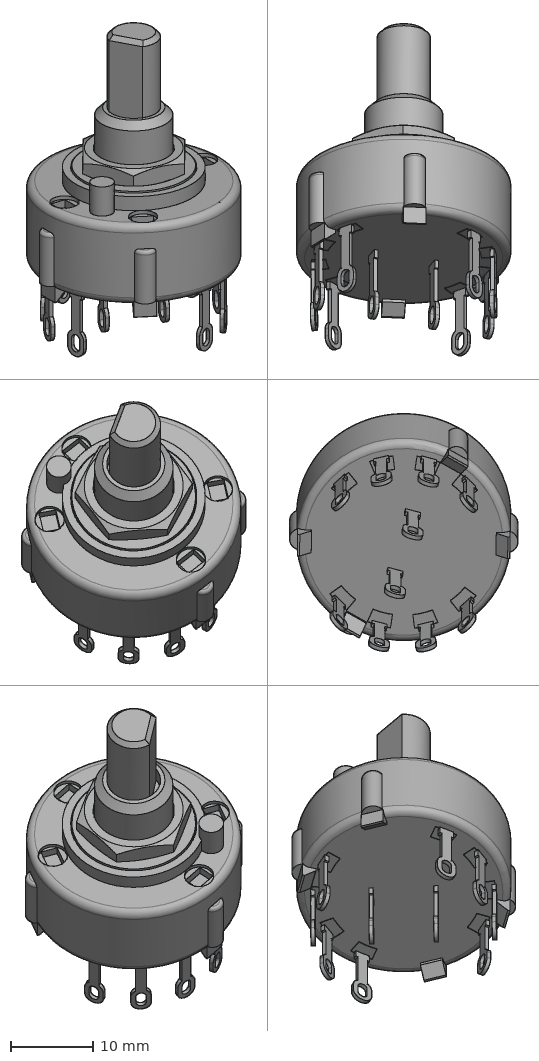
import cadquery as cq
import math


body_bottom = 8.8
body_top = 19.4
boss_top = 21.3
washer_top = 21.45
nut_top = 23.8
bushing_top = 29.25
shaft_top = 39.3

body_diameter = 26.0
body_edge_radius = 1.0
boss_diameter = 17.35

recess_diameter = 15.3
washer_diameter = 15.0
recess_depth = 0.4

nut_across_flats = 12.35
nut_bore = 9.82
nut_face_diameter = 12.0
nut_chamfer_height = 0.5
nut_turn = -6.7

bushing_diameter = 9.5
bushing_chamfer = 1.0
shaft_diameter = 6.5
shaft_chamfer = 0.6
shaft_flat_offset = 2.35
shaft_socket_depth = 1.95

locating_pin_diameter = 3.0
locating_pin_offset = 9.55
locating_pin_top = 23.3

corner_angles = [60, 120, 240, 300]
seat_diameter = 3.55
seat_radius = 10.4
seat_depth = 0.47
seat_slot_length = 2.7
seat_slot_width = 2.1
seat_slot_depth = 1.05
rib_diameter = 2.8
rib_radius = 12.45
rib_bottom = 9.3
rib_top = 16.3
rib_edge_radius = 0.47
hook_width = rib_diameter
hook_outer_radius = 12.9
hook_bottom = 7.15
hook_tip_depth = 0.28
hook_depth = 1.7
hook_slope_height = 1.25

outer_terminal_radius = 11.0
outer_terminal_angles = [165, 195, 225, 255, 345, 15, 45, 75]
inner_terminal_radius = 3.93
inner_terminal_angles = [45, 225]
terminal_thickness = 0.5
eye_width = 2.5
eye_height = 3.55
eye_wall = 0.63
shank_width = 1.35
shoulder_width = 1.9
shoulder_bottom = 7.75

pad_inner_radius = 9.45
pad_outer_radius = 11.15
pad_spread = 15
pad_height = 0.08

embed = 0.4


def disc(diameter, bottom, top):
    return cq.Workplane("XY").workplane(offset=bottom).circle(diameter / 2).extrude(top - bottom)


def block(length, width, bottom, top):
    return cq.Workplane("XY").workplane(offset=bottom).rect(length, width).extrude(top - bottom)


def place(shape, radius, angle):
    """Move a shape out along +X, then turn it about the Z axis."""
    return shape.translate((radius, 0, 0)).rotate((0, 0, 0), (0, 0, 1), angle)


def make_housing():
    housing = disc(body_diameter, body_bottom, body_top).edges().fillet(body_edge_radius)
    housing = housing.union(disc(boss_diameter, body_top - embed, boss_top))
    housing = housing.cut(disc(recess_diameter, boss_top - recess_depth, boss_top))
    locating_pin = disc(locating_pin_diameter, body_top - embed, locating_pin_top)
    return housing.union(locating_pin.translate((0, -locating_pin_offset, 0)))


def make_nut():
    corner_diameter = nut_across_flats / math.cos(math.pi / 6)
    height = nut_top - washer_top
    nut = cq.Workplane("XY").polygon(6, corner_diameter).extrude(height)
    face_radius = nut_face_diameter / 2
    corner_radius = corner_diameter / 2
    chamfered = (
        cq.Workplane("XZ")
        .polyline([
            (0, 0),
            (face_radius, 0),
            (corner_radius, nut_chamfer_height),
            (corner_radius, height - nut_chamfer_height),
            (face_radius, height),
            (0, height),
        ])
        .close()
        .revolve(360, (0, 0, 0), (0, 1, 0))
    )
    nut = nut.intersect(chamfered).cut(disc(nut_bore, 0, height))
    return place(nut, 0, nut_turn).translate((0, 0, washer_top))


def make_bushing():
    bushing = disc(bushing_diameter, body_top, bushing_top).faces(">Z").chamfer(bushing_chamfer)
    return bushing.cut(disc(shaft_diameter, bushing_top - shaft_socket_depth, bushing_top))


def make_shaft():
    bottom = bushing_top - shaft_socket_depth
    shaft = disc(shaft_diameter, bottom, shaft_top)
    flat_cut = block(shaft_diameter, shaft_diameter, bottom, shaft_top)
    shaft = shaft.cut(flat_cut.translate((0, -shaft_flat_offset - shaft_diameter / 2, 0)))
    return shaft.faces(">Z").chamfer(shaft_chamfer)


def make_seat():
    floor = body_top - seat_depth
    slot = block(seat_slot_width, seat_slot_length, floor - seat_slot_depth, floor)
    return disc(seat_diameter, floor, body_top).union(slot)


def make_rib():
    return disc(rib_diameter, rib_bottom, rib_top).faces(">Z").edges().fillet(rib_edge_radius)


def make_hook():
    """Hook whose outer face lies at x = 0 and whose sloped nose points inward."""
    slope_top = hook_bottom + hook_slope_height
    return (
        cq.Workplane("XZ")
        .polyline([
            (0, hook_bottom),
            (0, rib_bottom),
            (-hook_depth, rib_bottom),
            (-hook_depth, slope_top),
            (-hook_tip_depth, hook_bottom),
        ])
        .close()
        .extrude(hook_width / 2, both=True)
    )


def upright_slot(height, width):
    """Round-ended plate at the height of the solder eye, as thick as a terminal."""
    return (
        cq.Workplane("YZ")
        .center(0, eye_height / 2)
        .slot2D(height, width, 90)
        .extrude(terminal_thickness / 2, both=True)
    )


def make_terminal():
    """Flat terminal lying in the YZ plane, with a solder eye at its lower end."""
    top = body_bottom + embed
    eye_middle = eye_height / 2
    eye = upright_slot(eye_height, eye_width)
    hole = upright_slot(eye_height - 2 * eye_wall, eye_width - 2 * eye_wall)
    shank = block(terminal_thickness, shank_width, eye_middle, top)
    shoulder = block(terminal_thickness, shoulder_width, shoulder_bottom, top)
    return eye.union(shank).union(shoulder).cut(hole)



def make_pad():
    """Ring sector centred on the +X direction."""
    half_spread = math.radians(pad_spread / 2)
    inner_x = pad_inner_radius * math.cos(half_spread)
    inner_y = pad_inner_radius * math.sin(half_spread)
    outer_x = pad_outer_radius * math.cos(half_spread)
    outer_y = pad_outer_radius * math.sin(half_spread)
    return (
        cq.Workplane("XY")
        .workplane(offset=body_bottom - pad_height)
        .moveTo(inner_x, -inner_y)
        .lineTo(outer_x, -outer_y)
        .threePointArc((pad_outer_radius, 0), (outer_x, outer_y))
        .lineTo(inner_x, inner_y)
        .threePointArc((pad_inner_radius, 0), (inner_x, -inner_y))
        .close()
        .extrude(pad_height + embed)
    )


result = make_housing()
result = result.union(disc(washer_diameter, boss_top - recess_depth, washer_top))
result = result.union(make_bushing()).union(make_nut()).union(make_shaft())

for corner_angle in corner_angles:
    result = result.cut(place(make_seat(), seat_radius, corner_angle))
    result = result.union(place(make_rib(), rib_radius, corner_angle))
    result = result.union(place(make_hook(), hook_outer_radius, corner_angle))

for terminal_angle in outer_terminal_angles:
    result = result.union(place(make_pad(), 0, terminal_angle))
    result = result.union(place(make_terminal(), outer_terminal_radius, terminal_angle))

for terminal_angle in inner_terminal_angles:
    result = result.union(place(make_terminal(), inner_terminal_radius, terminal_angle))